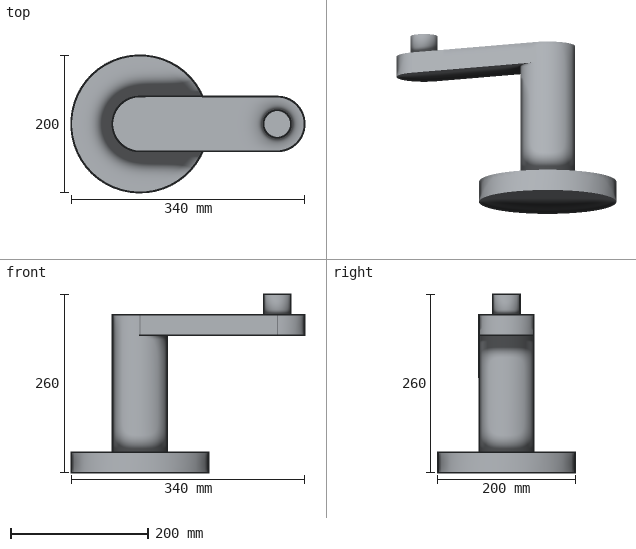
import cadquery as cq

base_diameter = 200
base_thickness = 30
column_diameter = 80
column_height = 200
arm_thickness = 30
arm_reach = 200
pin_diameter = 40
pin_height = 30

arm_top = base_thickness + column_height
arm_bottom = arm_top - arm_thickness


def cylinder(diameter, height, x, bottom):
    """Upright cylinder with its axis at (x, 0), standing on Z = bottom."""
    return cq.Workplane("XY", origin=(x, 0, bottom)).circle(diameter / 2).extrude(height)


def crank_arm():
    """Flat arm with rounded ends centred on the column and pin axes."""
    return (
        cq.Workplane("XY", origin=(arm_reach / 2, 0, arm_bottom))
        .slot2D(arm_reach + column_diameter, column_diameter)
        .extrude(arm_thickness)
    )


base = cylinder(base_diameter, base_thickness, 0, 0)
column = cylinder(column_diameter, column_height, 0, base_thickness)
pin = cylinder(pin_diameter, pin_height, arm_reach, arm_top)

result = base.union(column).union(crank_arm()).union(pin)